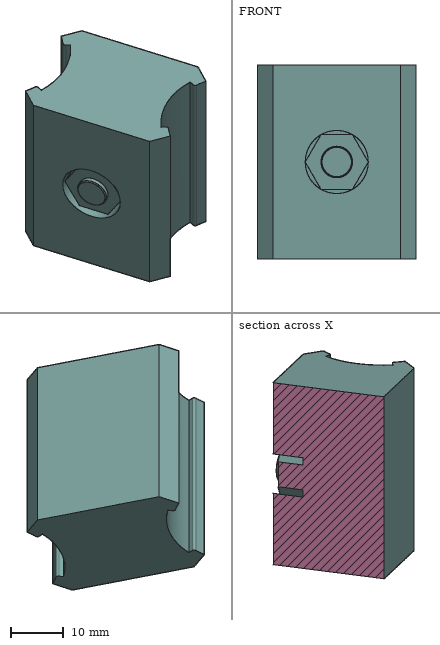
import cadquery as cq
import math

width = 30.25
depth = 22.5
height = 37.0
corner_chamfer = 3.0

lip_radius = 13.0
groove_radius = 14.4
groove_half_angle = 28.2
lip_fillet = 0.5

pocket_diameter = 12.0
pocket_depth = 6.0
nut_corner_overlap = 0.005
nut_recess = 1.0
stud_diameter = 6.0
stud_chamfer = 0.2

tip_y = depth / 2 - corner_chamfer
channel_axis_x = width / 2 + math.sqrt(lip_radius**2 - tip_y**2)


def make_block():
    block = cq.Workplane("XY").box(width, depth, height)
    return block.edges("|Z").chamfer(corner_chamfer)


def make_channel():
    """Full-height cutter for the +X channel, centred on its own axis."""
    lip_cylinder = cq.Workplane("XY").circle(lip_radius).extrude(height / 2, both=True)

    angle = math.radians(groove_half_angle)
    end_x = -groove_radius * math.cos(angle)
    end_y = groove_radius * math.sin(angle)
    groove_sector = (
        cq.Workplane("XY")
        .lineTo(end_x, end_y)
        .threePointArc((-groove_radius, 0), (end_x, -end_y))
        .close()
        .extrude(height / 2, both=True)
    )

    step_x = -lip_radius * math.cos(angle)
    step_y = lip_radius * math.sin(angle)
    cutter = lip_cylinder.union(groove_sector)
    for y in (step_y, -step_y):
        lip_edge = cq.selectors.NearestToPointSelector((step_x, y, 0))
        cutter = cutter.edges(lip_edge).fillet(lip_fillet)
    return cutter.translate((channel_axis_x, 0, 0))


def on_plane_behind_front(distance):
    """Workplane facing -Y at the given distance behind the -Y face."""
    return cq.Workplane("XZ", origin=(0, distance - depth / 2, 0))


def make_pocket():
    return on_plane_behind_front(pocket_depth).circle(pocket_diameter / 2).extrude(pocket_depth)


def make_nut():
    corner_diameter = pocket_diameter + 2 * nut_corner_overlap
    thickness = pocket_depth - nut_recess
    return on_plane_behind_front(pocket_depth).polygon(6, corner_diameter).extrude(thickness)


def make_stud():
    stud = on_plane_behind_front(pocket_depth).circle(stud_diameter / 2).extrude(pocket_depth)
    return stud.faces("<Y").chamfer(stud_chamfer)


channel = make_channel()
result = (
    make_block()
    .cut(channel)
    .cut(channel.mirror("YZ"))
    .cut(make_pocket())
    .union(make_nut())
    .union(make_stud())
)